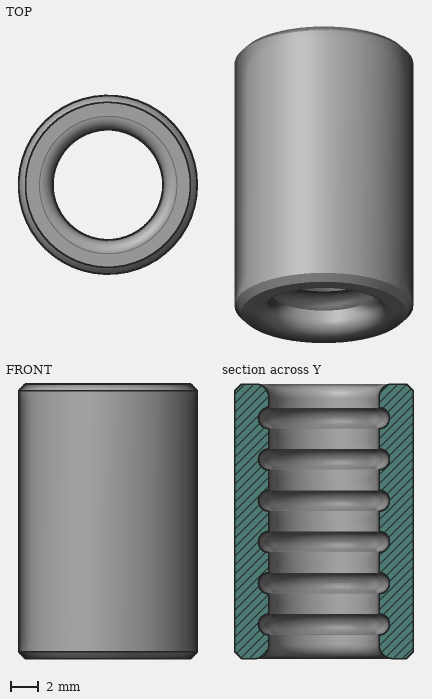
import cadquery as cq

outer_radius = 6.5
height = 20.0
edge_chamfer = 0.5

bore_radius = 4.0
mouth_fillet = 1.0

groove_count = 6
groove_pitch = 3.0
groove_radius = groove_pitch / 4


def make_sleeve():
    """Cylinder along Z, chamfered at both ends, with a rounded through bore."""
    blank = cq.Workplane("XY").circle(outer_radius).extrude(height)
    blank = blank.faces("<Z or >Z").chamfer(edge_chamfer)
    bored = blank.cut(cq.Workplane("XY").circle(bore_radius).extrude(height))
    return bored.edges(cq.selectors.RadiusNthSelector(0)).fillet(mouth_fillet)


def make_groove(center_height):
    """Torus whose tube is centered on the bore wall."""
    torus = cq.Solid.makeTorus(bore_radius, groove_radius)
    return torus.translate(cq.Vector(0, 0, center_height))


result = make_sleeve()
first_groove = (height - (groove_count - 1) * groove_pitch) / 2
for index in range(groove_count):
    result = result.cut(make_groove(first_groove + index * groove_pitch))